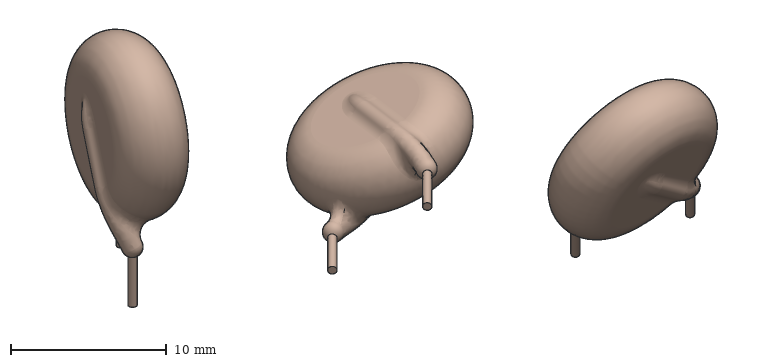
import cadquery as cq
import math

disc_radius = 6.25
disc_thickness = 5.0
rim_radius = disc_thickness / 2

lead_diameter = 0.6
lead_pitch = 7.5
lead_row_spacing = 2.4
lead_tip_z = -11.0
lead_x = lead_pitch / 2
lead_y = -lead_row_spacing / 2

overall_thickness = 5.89
coat_radius = 0.7
coat_lean = math.radians(30)
coat_y = -(overall_thickness / 2 - coat_radius)
dive_start = -0.3
dive_bend_radius = 4.0
dive_angle = math.radians(45)
dive_twist = math.radians(25)
bend_start = 3.5
blend_radius = 1.0

coat_end_x = 3.69
coat_end_z = -6.75
end_slope_x = 0.3
end_slope_y = 0.4

probe_position = 0.37
touch_tolerance = 1e-4


def make_disc():
    """Flat-faced disc with a fully rounded rim."""
    flat_radius = disc_radius - rim_radius
    profile = (
        cq.Workplane("XY")
        .moveTo(0, -rim_radius)
        .lineTo(flat_radius, -rim_radius)
        .threePointArc((disc_radius, 0), (flat_radius, rim_radius))
        .lineTo(0, rim_radius)
        .close()
    )
    return profile.revolve(360, (0, 0, 0), (0, 1, 0))


def ridge_point(along, depth=0, sideways=0):
    """Point measured along the ridge axis, sunk toward the disc and moved across the ridge."""
    x = along * math.sin(coat_lean) + sideways * math.cos(coat_lean)
    z = -along * math.cos(coat_lean) + sideways * math.sin(coat_lean)
    return cq.Vector(x, coat_y + depth, z)


def dive_point(angle):
    """Point on the arc that takes the upper ridge end down into the disc."""
    along = dive_start - dive_bend_radius * math.sin(angle)
    drop = dive_bend_radius * (1 - math.cos(angle))
    return ridge_point(along, drop * math.cos(dive_twist), drop * math.sin(dive_twist))


def make_coated_lead():
    """Round coating swept from inside the disc, along its face and out to the bare lead."""
    coat_end = cq.Vector(coat_end_x, lead_y, coat_end_z)
    run_in = ridge_point(1) - ridge_point(0)
    run_out = cq.Vector(end_slope_x, end_slope_y, -1)

    path = cq.Wire.assembleEdges([
        cq.Edge.makeThreePointArc(dive_point(dive_angle), dive_point(dive_angle / 2), dive_point(0)),
        cq.Edge.makeLine(dive_point(0), ridge_point(bend_start)),
        cq.Edge.makeSpline([ridge_point(bend_start), coat_end], [run_in, run_out]),
    ])
    start_plane = cq.Plane(
        origin=dive_point(dive_angle),
        xDir=ridge_point(0, 0, 1) - ridge_point(0),
        normal=path.tangentAt(0),
    )
    return cq.Workplane(start_plane).circle(coat_radius).sweep(cq.Workplane(path))


def make_lead_end():
    """Ball-shaped end of the coating with the bare lead leaving it straight down."""
    ball = cq.Workplane("XY", origin=(coat_end_x, lead_y, coat_end_z)).sphere(coat_radius)
    lead_top = cq.Workplane("XY", origin=(lead_x, lead_y, coat_end_z))
    lead = lead_top.circle(lead_diameter / 2).extrude(lead_tip_z - coat_end_z)
    return ball.union(lead)


def lies_on(edge, shape):
    """True where a point inside the edge touches the skin of the shape."""
    probe = cq.Vertex.makeVertex(*edge.positionAt(probe_position).toTuple())
    return min(probe.distance(face) for face in shape.faces().vals()) < touch_tolerance


def blend_ridge(disc, ridge):
    """Join a ridge to the disc and round the inside corner all along their meeting line."""
    joined = disc.union(ridge)
    corner_edges = []
    for edge in joined.edges().vals():
        if lies_on(edge, disc) and lies_on(edge, ridge):
            corner_edges.append(edge)
    return joined.newObject(corner_edges).fillet(blend_radius)


def half_turn(shape):
    """The same shape turned to the opposite face of the disc."""
    return shape.rotate((0, 0, 0), (0, 0, 1), 180)


disc_with_lead = blend_ridge(make_disc(), make_coated_lead()).union(make_lead_end())
result = disc_with_lead.union(half_turn(disc_with_lead))